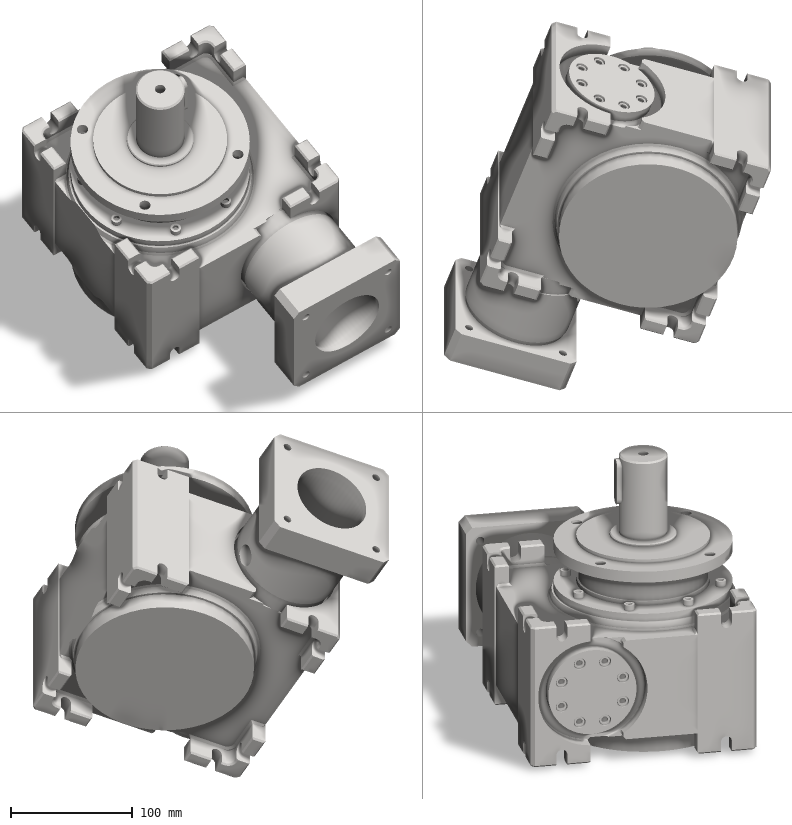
import cadquery as cq
import math


housing_size = 190.0
housing_height = 123.5
face_inset = 1.0
body_height = 87.5
pillar_length = 50.0
pillar_wall = 12.2
pillar_inner_radius = 6.0
pillar_corner_chamfer = 3.0
pillar_edge_chamfer = 1.5
base_bevel = 2.0
slot_width = 9.0
slot_offset = 69.0
slot_depth = 13.8
cut_clearance = 2.8

shaft_y = -20.0
seat_base_diameter = 157.0
seat_lip_diameter = 153.7
seat_lip_height = 1.5
seat_top_diameter = 150.5
seat_height = 6.5
plate_diameter = 147.0
plate_thickness = 6.5
rear_disc_diameter = 146.5
rear_disc_thickness = 15.0
neck_ring_diameter = 110.0
neck_ring_height = 3.5
neck_diameter = 106.5
pilot_diameter = 110.0
pilot_height = 3.3
pilot_back_height = 2.8
neck_cone_height = 2.0
flange_diameter = 147.0
flange_thickness = 9.7
flange_bottom_z = 84.5
flange_hole_diameter = 9.0
flange_bolt_circle = 130.0
collar_diameter = 55.0
collar_height = 2.5
collar_chamfer = 0.8
shaft_diameter = 40.0
shaft_top_z = 169.2
shaft_chamfer = 1.5
relief_diameter = 39.5
relief_height = 1.7
center_hole_diameter = 8.5
center_hole_depth = 13.8
key_width = 12.0
key_top_gap = 2.8
key_length = 39.8
key_crest = 23.2
key_root = 10.0

plate_screw_circle = 129.5
plate_screw_diameter = 8.5
plate_screw_height = 5.0
plate_socket_diameter = 5.0
socket_depth = 2.8
screw_count = 8

pocket_diameter = 92.0
pocket_floor_x = 83.0
notch_floor_x = 85.5
pocket_floor_radius = 1.0
notch_y = 17.1
notch_corner = 2.2
cover_diameter = 74.0
cover_face_x = 92.5
cover_screw_circle = 55.9
cover_bore_diameter = 10.0
cover_bore_depth = 3.3
cover_screw_diameter = 8.5
cover_screw_height = 2.0
cover_socket_diameter = 5.5
adapter_diameter = 90.1
adapter_rim_diameter = 88.0
adapter_start_x = 98.2
adapter_end_x = 149.0
motor_flange_x = 153.0
motor_flange_size = 105.0
overall_length = 276.5
overall_width = 190.5
motor_flange_chamfer = 5.3
motor_hole_diameter = 7.0
motor_hole_pitch = 81.3
motor_bore_diameter = 63.0
clamp_hole_diameter = 18.0
clamp_hole_x = 105.0
clamp_hole_angle = 22.5

half_size = housing_size / 2
half_height = housing_height / 2
half_body = body_height / 2
body_half_width = half_size - face_inset
input_y = overall_width - half_size - motor_flange_size / 2
motor_end_x = overall_length - half_size
motor_flange_thickness = motor_end_x - motor_flange_x


def disc(diameter, bottom_z, height):
    """Upright cylinder on the shaft axis."""
    plane = cq.Workplane("XY", origin=(0, shaft_y, bottom_z))
    return plane.circle(diameter / 2).extrude(height)


def input_cylinder(diameter, start_x, end_x):
    """Cylinder along X on the input axis."""
    plane = cq.Workplane("YZ", origin=(start_x, input_y, 0))
    return plane.circle(diameter / 2).extrude(end_x - start_x)


def corner_profile(outer, wall, end, bottom_z):
    """L outline in the +X +Y corner, reaching inward to the given end position."""
    inner = outer - wall
    return (
        cq.Workplane("XY", origin=(0, 0, bottom_z))
        .moveTo(outer, outer)
        .lineTo(end, outer)
        .lineTo(end, inner)
        .lineTo(inner - pillar_inner_radius, inner)
        .radiusArc((inner, inner - pillar_inner_radius), pillar_inner_radius)
        .lineTo(inner, end)
        .lineTo(outer, end)
        .close()
    )


def corner_pillar():
    """Corner pillar in the +X +Y corner, with beveled feet where it meets the body."""
    end = half_size - pillar_length
    pillar = corner_profile(half_size, pillar_wall, end, -half_height).extrude(housing_height)
    pillar = pillar.edges("|Z").edges(">(1, 1, 0)").chamfer(pillar_corner_chamfer)
    pillar = pillar.faces("<Z or >Z").chamfer(pillar_edge_chamfer)
    foot_wall = pillar_wall - face_inset + base_bevel
    foot_height = body_height + 2 * base_bevel
    foot = corner_profile(body_half_width, foot_wall, end - base_bevel, -foot_height / 2)
    foot = foot.extrude(foot_height).edges("|Z").edges(">(1, 1, 0)").chamfer(pillar_corner_chamfer)
    return pillar.union(foot.faces("<Z or >Z").chamfer(base_bevel))


def slot_cutters():
    """Round-bottomed slots through the walls at the top and bottom of every pillar."""
    length = 2 * (half_size + cut_clearance)
    radius = slot_width / 2
    straight = slot_depth - radius
    cutters = cq.Workplane("XY")
    for plane_name in ("XZ", "YZ"):
        for across in (-slot_offset, slot_offset):
            for side in (-1, 1):
                root_z = side * (half_height - straight)
                plane = cq.Workplane(plane_name)
                cutters = cutters.union(
                    plane.center(across, root_z).circle(radius).extrude(length / 2, both=True)
                )
                cutters = cutters.union(
                    plane.center(across, root_z + side * straight / 2)
                    .rect(slot_width, straight)
                    .extrude(length / 2, both=True)
                )
    return cutters


def bearing_seat():
    """Conical seat rising from the body top, trimmed flush with the body sides."""
    seat = (
        cq.Workplane("XZ")
        .polyline([
            (0, 0),
            (seat_base_diameter / 2, 0),
            (seat_lip_diameter / 2, seat_lip_height),
            (seat_top_diameter / 2, seat_height),
            (0, seat_height),
        ])
        .close()
        .revolve(360, (0, 0, 0), (0, 1, 0))
        .translate((0, shaft_y, half_body))
    )
    trim = cq.Workplane("XY").box(2 * body_half_width, 2 * body_half_width, housing_height)
    return seat.intersect(trim)


def input_pocket():
    """Round pocket in the +X side with notches running out through the body top and bottom."""
    pocket = input_cylinder(pocket_diameter, pocket_floor_x, half_size + cut_clearance)
    pocket = pocket.faces("<X").edges().fillet(pocket_floor_radius)
    pillar_end_y = half_size - pillar_length
    mouth_y = notch_y - notch_corner
    notch = (
        cq.Workplane("YZ", origin=(notch_floor_x, 0, 0))
        .polyline([
            (pillar_end_y, half_body),
            (mouth_y, half_body),
            (notch_y, half_body - notch_corner),
            (notch_y, notch_corner - half_body),
            (mouth_y, -half_body),
            (pillar_end_y, -half_body),
        ])
        .close()
        .extrude(half_size - notch_floor_x)
    )
    notch = notch.edges("|Z").edges("<(1, 1, 0)").fillet(notch_corner)
    return pocket.union(notch)


def housing():
    body = cq.Workplane("XY").box(2 * body_half_width, 2 * body_half_width, body_height)
    body = body.edges("|Z").chamfer(pillar_corner_chamfer)
    pillar = corner_pillar().cut(slot_cutters())
    pillar = pillar.union(pillar.mirror("YZ"))
    pillar = pillar.union(pillar.mirror("XZ"))
    seat = bearing_seat()
    block = body.union(pillar).union(seat).union(seat.mirror("XY"))
    pocket = input_pocket()
    return block.cut(pocket).cut(pocket.mirror("YZ"))


def output_flange():
    """Neck, mounting flange, collar and shaft, stacked upward from the output plate."""
    plate_bottom = half_body + seat_height
    plate_top = plate_bottom + plate_thickness
    pilot_bottom = flange_bottom_z - pilot_back_height
    flange_top = flange_bottom_z + flange_thickness
    collar_bottom = flange_top + pilot_height
    relief_bottom = collar_bottom + collar_height
    shaft_bottom = relief_bottom + relief_height

    stack = disc(plate_diameter, plate_bottom, plate_thickness)
    stack = stack.union(disc(neck_ring_diameter, plate_top, neck_ring_height))
    stack = stack.union(disc(neck_diameter, plate_top, pilot_bottom - plate_top))
    neck_cone = cq.Solid.makeCone(
        neck_diameter / 2,
        pilot_diameter / 2,
        neck_cone_height,
        pnt=cq.Vector(0, shaft_y, pilot_bottom - neck_cone_height),
    )
    stack = stack.union(cq.Workplane(neck_cone))
    stack = stack.union(disc(pilot_diameter, pilot_bottom, collar_bottom - pilot_bottom))

    bolt_pitch = flange_bolt_circle / math.sqrt(2)
    flange = (
        disc(flange_diameter, flange_bottom_z, flange_thickness)
        .faces(">Z")
        .workplane(origin=(0, shaft_y, 0))
        .rect(bolt_pitch, bolt_pitch, forConstruction=True)
        .vertices()
        .hole(flange_hole_diameter)
    )
    stack = stack.union(flange)

    collar = disc(collar_diameter, collar_bottom, collar_height).faces(">Z").chamfer(collar_chamfer)
    stack = stack.union(collar)
    stack = stack.union(disc(relief_diameter, relief_bottom, relief_height))
    shaft = disc(shaft_diameter, shaft_bottom, shaft_top_z - shaft_bottom)
    shaft = shaft.faces(">Z").chamfer(shaft_chamfer)
    shaft = shaft.cut(disc(center_hole_diameter, shaft_top_z - center_hole_depth, center_hole_depth))
    return stack.union(shaft).union(shaft_key())


def shaft_key():
    """Round-ended key standing proud of the +Y side of the shaft."""
    key_center_z = shaft_top_z - key_top_gap - key_length / 2
    return (
        cq.Workplane("XZ", origin=(0, shaft_y + key_crest, key_center_z))
        .slot2D(key_length, key_width, 90)
        .extrude(key_crest - key_root)
    )


def screw_angles():
    """Evenly spaced screw angles, offset by half a step."""
    step = 2 * math.pi / screw_count
    return [(index + 0.5) * step for index in range(screw_count)]


def plate_screws():
    """Socket screw heads on the output plate."""
    plate_top = half_body + seat_height + plate_thickness
    radius = plate_screw_circle / 2
    spots = [(radius * math.cos(angle), radius * math.sin(angle)) for angle in screw_angles()]
    plane = cq.Workplane("XY", origin=(0, shaft_y, plate_top)).pushPoints(spots)
    heads = plane.circle(plate_screw_diameter / 2).extrude(plate_screw_height)
    socket_plane = cq.Workplane("XY", origin=(0, shaft_y, plate_top + plate_screw_height))
    sockets = socket_plane.pushPoints(spots).circle(plate_socket_diameter / 2).extrude(-socket_depth)
    return heads.cut(sockets)


def cover():
    """Round cover in the -X pocket with recessed socket screws."""
    radius = cover_screw_circle / 2
    spots = [(radius * math.cos(angle), radius * math.sin(angle)) for angle in screw_angles()]

    def screw_cylinders(diameter, start_x, length):
        plane = cq.Workplane("YZ", origin=(start_x, input_y, 0))
        return plane.pushPoints(spots).circle(diameter / 2).extrude(length)

    bore_floor_x = cover_bore_depth - cover_face_x
    head_x = bore_floor_x - cover_screw_height
    plate = input_cylinder(cover_diameter, -cover_face_x, -pocket_floor_x)
    plate = plate.cut(screw_cylinders(cover_bore_diameter, -cover_face_x, cover_bore_depth))
    plate = plate.union(screw_cylinders(cover_screw_diameter, head_x, cover_screw_height))
    return plate.cut(screw_cylinders(cover_socket_diameter, head_x, socket_depth))


def motor_adapter():
    """Hollow cylinder and square motor flange, with a radial clamp screw access hole."""
    adapter = input_cylinder(adapter_rim_diameter, pocket_floor_x, motor_flange_x)
    adapter = adapter.union(input_cylinder(adapter_diameter, adapter_start_x, adapter_end_x))
    flange = (
        cq.Workplane("YZ", origin=(motor_flange_x, input_y, 0))
        .rect(motor_flange_size, motor_flange_size)
        .extrude(motor_flange_thickness)
        .edges("|X")
        .chamfer(motor_flange_chamfer)
    )
    flange_holes = (
        cq.Workplane("YZ", origin=(motor_flange_x, input_y, 0))
        .rect(motor_hole_pitch, motor_hole_pitch, forConstruction=True)
        .vertices()
        .circle(motor_hole_diameter / 2)
        .extrude(motor_flange_thickness)
    )
    adapter = adapter.union(flange.cut(flange_holes))
    adapter = adapter.cut(input_cylinder(motor_bore_diameter, half_size, motor_end_x))
    clamp_hole = (
        cq.Workplane("XZ", origin=(clamp_hole_x, 0, 0))
        .circle(clamp_hole_diameter / 2)
        .extrude(adapter_diameter)
        .rotate((0, 0, 0), (1, 0, 0), clamp_hole_angle)
        .translate((0, input_y, 0))
    )
    return adapter.cut(clamp_hole)


rear_bottom_z = -half_body - seat_height - rear_disc_thickness
rear_disc = disc(rear_disc_diameter, rear_bottom_z, rear_disc_thickness)

result = (
    housing()
    .union(rear_disc)
    .union(output_flange())
    .union(plate_screws())
    .union(cover())
    .union(motor_adapter())
)